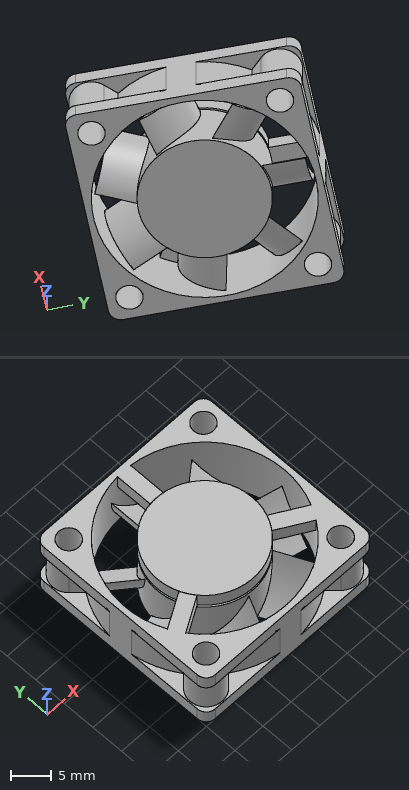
import cadquery as cq
import math

SIDE = 30.0
HEIGHT = 10.4
CORNER_RADIUS = 1.6
FLANGE_THICKNESS = 2.35
BORE_DIAMETER = 28.3
BARREL_DIAMETER = 30.24

HOLE_DIAMETER = 3.4
HOLE_SPACING = 24.0
POST_DIAMETER = 5.65

HUB_DIAMETER = 16.9
HUB_TOP = 10.44
HUB_BOTTOM = 8.15
SPOKE_COUNT = 3
SPOKE_WIDTH = 2.34

NECK_DIAMETER = 15.8
NECK_GAP = 0.45
ROTOR_TOP = HUB_BOTTOM - NECK_GAP

BLADE_COUNT = 7
BLADE_WIDTH = 6.0
BLADE_TIP = 13.4
BLADE_TOP = 7.05
BLADE_BOTTOM = 0.5
UPPER_FACE_SAG = 0.5
LOWER_FACE_SAG = 1.75

Y_AXIS_ANGLE = 90.0
FIRST_ANGLE = Y_AXIS_ANGLE


def disk(diameter, bottom, top):
    """Solid cylinder on the fan axis between two heights."""
    return cq.Workplane("XY").workplane(offset=bottom).circle(diameter / 2).extrude(top - bottom)


def square_plate(bottom, top):
    """Rounded square plate with the outline of the housing."""
    plate = cq.Workplane("XY").workplane(offset=bottom).rect(SIDE, SIDE).extrude(top - bottom)
    return plate.edges("|Z").fillet(CORNER_RADIUS)


def corner_cylinders(diameter):
    """Full-height cylinders on the four mounting-hole axes."""
    return (
        cq.Workplane("XY")
        .rect(HOLE_SPACING, HOLE_SPACING, forConstruction=True)
        .vertices()
        .circle(diameter / 2)
        .extrude(HEIGHT)
    )


def turn(body, angle):
    """Body rotated about the fan axis."""
    return body.rotate((0, 0, 0), (0, 0, 1), angle)


def make_housing():
    """Two flanges joined by the barrel and by corner posts with diagonal webs."""
    diagonal = HOLE_SPACING * math.sqrt(2)
    core = disk(BARREL_DIAMETER, 0, HEIGHT).union(corner_cylinders(POST_DIAMETER))
    for angle in (45, 135):
        web = cq.Workplane("XY").rect(diagonal, POST_DIAMETER).extrude(HEIGHT)
        core = core.union(turn(web, angle))
    core = core.intersect(square_plate(0, HEIGHT))

    lower_flange = square_plate(0, FLANGE_THICKNESS)
    upper_flange = square_plate(HEIGHT - FLANGE_THICKNESS, HEIGHT)
    housing = core.union(lower_flange).union(upper_flange)
    return housing.cut(disk(BORE_DIAMETER, 0, HEIGHT)).cut(corner_cylinders(HOLE_DIAMETER))


def make_spoke(angle):
    """Straight bar from the axis into the upper flange."""
    bar_length = (BORE_DIAMETER + BARREL_DIAMETER) / 4
    bar = (
        cq.Workplane("XY")
        .workplane(offset=HEIGHT - FLANGE_THICKNESS)
        .center(bar_length / 2, 0)
        .rect(bar_length, SPOKE_WIDTH)
        .extrude(FLANGE_THICKNESS)
    )
    return turn(bar, angle)


def make_blade(angle):
    """Crescent between two arcs, high on its counter-clockwise edge."""
    half_width = BLADE_WIDTH / 2
    rise = BLADE_TOP - BLADE_BOTTOM
    chord = math.hypot(BLADE_WIDTH, rise)
    middle_height = (BLADE_TOP + BLADE_BOTTOM) / 2

    def arc_middle(sag):
        """Midpoint of an arc that sags below the chord of the section."""
        return (-sag * rise / chord, middle_height - sag * BLADE_WIDTH / chord)

    blade = (
        cq.Workplane("XZ")
        .moveTo(-half_width, BLADE_TOP)
        .threePointArc(arc_middle(LOWER_FACE_SAG), (half_width, BLADE_BOTTOM))
        .threePointArc(arc_middle(UPPER_FACE_SAG), (-half_width, BLADE_TOP))
        .close()
        .extrude(-BLADE_TIP)
    )
    return turn(blade, angle - Y_AXIS_ANGLE)


def make_rotor():
    """Rotor drum with evenly spaced blades."""
    rotor = disk(HUB_DIAMETER, 0, ROTOR_TOP)
    for index in range(BLADE_COUNT):
        rotor = rotor.union(make_blade(FIRST_ANGLE + index * 360 / BLADE_COUNT))
    return rotor


def make_fixed_hub():
    """Disk and neck above the rotor, with the spokes that hold them."""
    hub = disk(HUB_DIAMETER, HUB_BOTTOM, HUB_TOP).union(disk(NECK_DIAMETER, ROTOR_TOP, HUB_BOTTOM))
    for index in range(SPOKE_COUNT):
        hub = hub.union(make_spoke(FIRST_ANGLE + index * 360 / SPOKE_COUNT))
    return hub


result = make_housing().union(make_fixed_hub()).union(make_rotor())